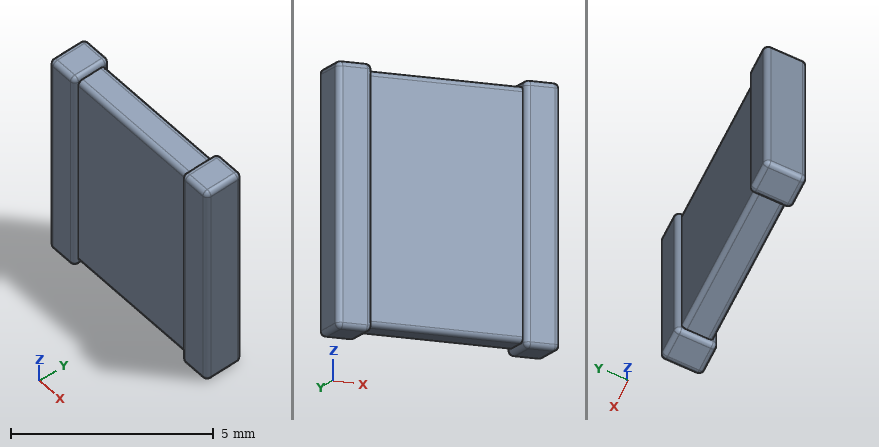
import cadquery as cq

LENGTH = 6.0
THICKNESS = 1.15
HEIGHT = 6.8

TERMINAL_WIDTH = 0.945
EDGE_RADIUS = 0.14

BODY_LENGTH = LENGTH - 2 * TERMINAL_WIDTH
BODY_THICKNESS = THICKNESS - 2 * EDGE_RADIUS
BODY_HEIGHT = HEIGHT - 2 * EDGE_RADIUS


def make_body():
    """Centred bar with its four long edges rounded."""
    bar = cq.Workplane("XY").box(BODY_LENGTH, BODY_THICKNESS, BODY_HEIGHT)
    return bar.edges("|X").fillet(EDGE_RADIUS)


def make_terminal(side):
    """End block with every edge rounded; side is -1 for the -X end and 1 for the +X end."""
    block = cq.Workplane("XY").box(TERMINAL_WIDTH, THICKNESS, HEIGHT).edges().fillet(EDGE_RADIUS)
    centre_x = side * (LENGTH - TERMINAL_WIDTH) / 2
    return block.translate((centre_x, 0, 0))


body = make_body()
terminals = [make_terminal(side) for side in (-1, 1)]

result = cq.Compound.makeCompound([body.val(), *[terminal.val() for terminal in terminals]])